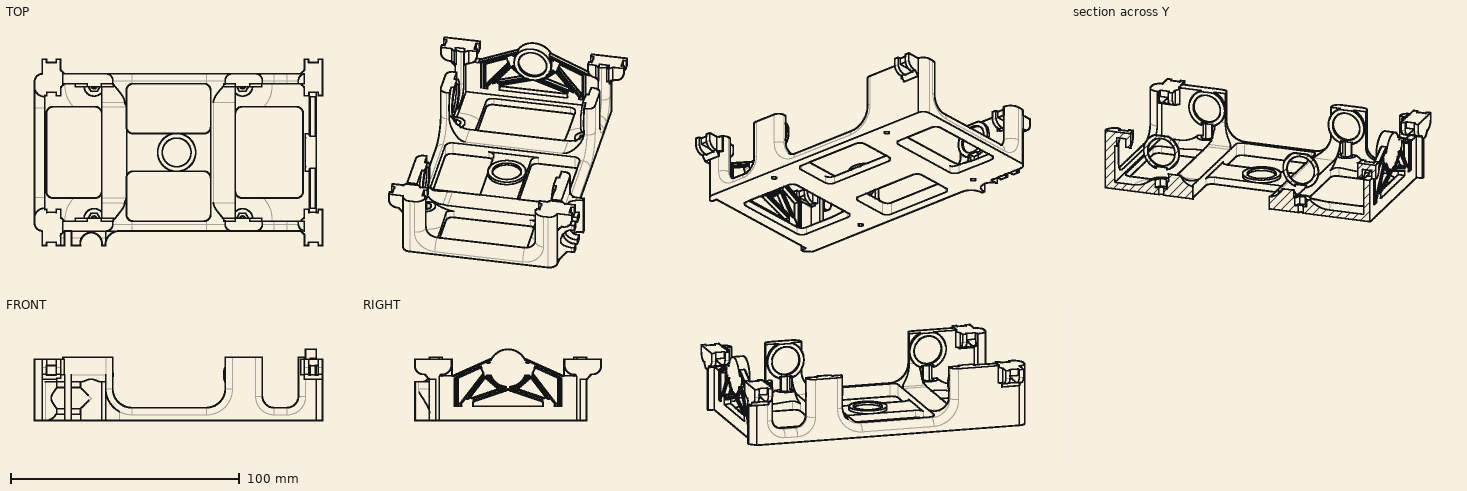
import cadquery as cq
import math


LENGTH = 126.0
ARM_TIP_Y = 40.75
POST_TOP = 26.9
WALL_TOP = 27.7
FLOOR_TOP = 3.3
OVERLAP = 0.5

WALL_OUTER = 34.4
WALL_INNER = 30.0
RAIL_TOP = 5.7
WALL_EDGE_RADIUS = 3.1
MAIN_OPENING = (34.3, 83.4)
MAIN_OPENING_RADIUS = 8.2
SMALL_OPENING = (99.7, 115.4)
SMALL_OPENING_RADIUS = 5.0
OPENINGS = ((MAIN_OPENING, MAIN_OPENING_RADIUS), (SMALL_OPENING, SMALL_OPENING_RADIUS))
WALL_RIGHT_END = 119.0

END_RAIL_WIDTH = 4.6
END_RAIL_TOP = 6.0
END_OPENING_HALF = 24.4
END_OPENING_RADIUS = 4.8
END_RAIL_EDGE_RADIUS = 4.4
END_CORNER_RADIUS = 3.6

FLOOR_RIGHT_END = 123.3
WINDOW_RADIUS = 2.8
END_WINDOW_HALF = 19.9
LEFT_WINDOW = (5.3, 29.4)
MIDDLE_WINDOW = (40.3, 77.0)
RIGHT_WINDOW = (87.9, 117.4)
CENTRE_BAR_HALF = 8.3
LEFT_CROSSBAR = (LEFT_WINDOW[1], MIDDLE_WINDOW[0])
RIGHT_CROSSBAR = (MIDDLE_WINDOW[1], RIGHT_WINDOW[0])
LEFT_CROSSBAR_TOP = 6.0
RIGHT_CROSSBAR_TOP = 6.3
CROSSBARS = ((LEFT_CROSSBAR, LEFT_CROSSBAR_TOP), (RIGHT_CROSSBAR, RIGHT_CROSSBAR_TOP))
CROSSBAR_RAMP_Z = RIGHT_CROSSBAR_TOP
CROSSBAR_RAMP_RADIUS = 8.0

PAD_RADIUS = 8.3
SEAT_RADIUS = 6.3
PAD_HEIGHT = 1.3
SEAT_DEPTH = 1.0
PAD_Z = 20.0
SIDE_PADS_X = (26.1, 91.0)
CENTRE_PAD_X = 62.2

MOUND_Y = 29.0
MOUND_BASE_RADIUS = 12.8
MOUND_TOP_RADIUS = 4.4
MOUND_TOP = 6.8
MOUND_SAG = 0.9
MOUND_HOLE_RADIUS = 1.1
MOUND_POCKET_ACROSS_FLATS = 4.7
MOUND_POCKET_TOP = PAD_Z - PAD_RADIUS + PAD_HEIGHT

LEFT_ARM = (3.4, 11.5)
RIGHT_ARM = (118.0, LENGTH)
ARM_CENTRE_Y = 32.8
ARM_HALF_LENGTH = ARM_TIP_Y - ARM_CENTRE_Y
ARM_NOSE_Z = 23.4
ARM_ROOT_HALF = 1.7
ARM_ROOT_Z = 18.0
ARM_KNEE_HALF = 3.6
ARM_KNEE_Z = 20.2
NOTCH_WIDTH = 4.15
NOTCH_DEPTH = 1.4
NOTCH_FLOOR = 20.0
ARM_HOLE_TOP = 24.0
FLARE = 1.6
WALL_TOP_LEFT = 12.5
POST_CORNER_CHAMFER = 2.8

TRUSS_X = (120.2, FLOOR_RIGHT_END)
TRUSS_RAIL_TOP = 6.2
STRUT_WIDTH = 1.8
STRUT_CHAMFER = 0.5
GUSSET_TOP = 19.5
GUSSET_INNER_Y = 23.4
DISC_LEFT = 118.5
DISC_Z = 22.95
DISC_RADIUS = 8.25

TOP_CHORD = ((23.5, 18.9), (7.0, 26.3))
SIDE_STRUT = ((22.7, 7.0), (22.7, 18.5))
DIAGONAL = ((19.8, 7.5), (10.6, 19.4))
LOWER_CHORD = ((16.0, 8.9), (0.0, 14.3))
DISC_STRUT = ((9.6, 19.6), (3.6, 14.4))
STRUTS = (TOP_CHORD, SIDE_STRUT, DIAGONAL, LOWER_CHORD, DISC_STRUT)
TRUSS_FOOT = ((20.3, 5.7), (20.3, 7.8), (16.2, 10.3), (15.2, 9.3), (15.2, 5.7))
TRUSS_NODE = ((6.0, 26.0), (11.8, 24.0), (11.6, 22.4), (10.4, 19.8), (6.0, 19.8))

HOLDER_TOP = 17.0
HOLDER_RAMP_RADIUS = 3.0
HOLDER_LEFT = 9.8
HOLDER_RIGHT = 31.1
HOLDER_LEFT_FLARE = 5.0
HOLDER_RIGHT_FLARE = 6.0
HOLDER_SLOT = (13.2, 16.2)
HOLDER_BORE_Y = -39.8
HOLDER_BORE_RADIUS = 4.7
VERTICAL_BORE_X = 24.8
CROSS_BORE_Z = 9.8
UNDERCUT_HEIGHT = 2.8
UNDERCUT_FLAT_Y = -37.5
UNDERCUT_RIGHT = 20.3


def block(x_range, y_range, z_range):
    """Box given by its limits along each axis."""
    size = [high - low for low, high in (x_range, y_range, z_range)]
    corner = (x_range[0], y_range[0], z_range[0])
    return cq.Workplane("XY").box(*size, centered=False).translate(corner)


def extrude_along_x(outline_yz, x_range):
    """Prism between two X limits from a closed outline in the YZ plane."""
    return outline_yz.extrude(x_range[1] - x_range[0]).translate((x_range[0], 0, 0))


def both_sides(body):
    """The body joined with its mirror image across Y = 0."""
    return body.union(body.mirror("XZ"))


def u_tool(plane, span, bottom, radius, depth):
    """Open-topped U cutter with rounded lower corners, extruded both ways from the plane."""
    low, high = span
    top = WALL_TOP + OVERLAP
    outline = (
        cq.Workplane(plane)
        .moveTo(low, top)
        .lineTo(low, bottom + radius)
        .radiusArc((low + radius, bottom), -radius)
        .lineTo(high - radius, bottom)
        .radiusArc((high, bottom + radius), -radius)
        .lineTo(high, top)
        .close()
    )
    return outline.extrude(depth, both=True)


def make_side_wall():
    """Wall on the +Y side with two U openings, rounded along the outer edge of each."""
    wall = block((LEFT_ARM[0], WALL_RIGHT_END), (WALL_INNER, WALL_OUTER), (0, WALL_TOP))
    for x_limits in ((0, WALL_TOP_LEFT), (RIGHT_ARM[0], LENGTH)):
        wall = wall.cut(block(x_limits, (0, ARM_TIP_Y), (POST_TOP, WALL_TOP + OVERLAP)))
    for span, radius in OPENINGS:
        wall = wall.cut(u_tool("XZ", span, RAIL_TOP, radius, ARM_TIP_Y))
        rim_box = cq.selectors.BoxSelector(
            (span[0] - OVERLAP, WALL_OUTER - OVERLAP, RAIL_TOP - OVERLAP),
            (span[1] + OVERLAP, WALL_OUTER + OVERLAP, WALL_TOP - OVERLAP),
        )
        wall = wall.edges(rim_box).fillet(WALL_EDGE_RADIUS)
    return wall


def make_end_rail():
    """Left end rail rising into the two left posts."""
    rail = block((0, END_RAIL_WIDTH), (-WALL_OUTER, WALL_OUTER), (0, POST_TOP))
    span = (-END_OPENING_HALF, END_OPENING_HALF)
    rail = rail.cut(u_tool("YZ", span, END_RAIL_TOP, END_OPENING_RADIUS, LENGTH))
    rim_box = cq.selectors.BoxSelector(
        (-OVERLAP, span[0] - OVERLAP, END_RAIL_TOP - OVERLAP),
        (OVERLAP, span[1] + OVERLAP, POST_TOP - OVERLAP),
    )
    rail = rail.edges(rim_box).fillet(END_RAIL_EDGE_RADIUS)
    for side in (-1, 1):
        corner = cq.selectors.NearestToPointSelector((0, side * WALL_OUTER, POST_TOP / 2))
        rail = rail.edges(corner).fillet(END_CORNER_RADIUS)
    return rail


def make_ring_pad(height):
    """Round pad standing on the XY plane, with its seat sunk in the top."""
    pad = cq.Workplane("XY").circle(PAD_RADIUS).extrude(height)
    seat = cq.Workplane("XY").workplane(offset=height - SEAT_DEPTH).circle(SEAT_RADIUS).extrude(height)
    return pad.cut(seat)


def make_mound(x):
    """Flared mound, concave towards the floor, standing against the +Y wall."""
    middle_radius = (MOUND_BASE_RADIUS + MOUND_TOP_RADIUS) / 2
    middle_z = (FLOOR_TOP + MOUND_TOP) / 2 - MOUND_SAG
    profile = (
        cq.Workplane("XZ")
        .lineTo(MOUND_BASE_RADIUS, 0)
        .lineTo(MOUND_BASE_RADIUS, FLOOR_TOP)
        .threePointArc((middle_radius, middle_z), (MOUND_TOP_RADIUS, MOUND_TOP))
        .lineTo(0, MOUND_TOP)
        .close()
    )
    mound = profile.revolve(360, (0, 0), (0, 1)).translate((x, MOUND_Y, 0))
    return mound.intersect(block((0, LENGTH), (0, WALL_INNER + OVERLAP), (0, WALL_TOP)))


def make_mound_hole(x):
    """Small through hole opening into a hexagonal pocket that also grooves the wall."""
    floor = cq.Workplane("XY").center(x, MOUND_Y)
    hole = floor.circle(MOUND_HOLE_RADIUS).extrude(MOUND_TOP)
    across_corners = MOUND_POCKET_ACROSS_FLATS / math.cos(math.pi / 6)
    pocket = floor.workplane(offset=FLOOR_TOP).polygon(6, across_corners)
    return hole.union(pocket.extrude(MOUND_POCKET_TOP - FLOOR_TOP))


def make_crossbar(span, top):
    """Raised bar across the floor, sweeping up into both side walls."""
    start_y = WALL_INNER - CROSSBAR_RAMP_RADIUS
    ramp_top = CROSSBAR_RAMP_Z + CROSSBAR_RAMP_RADIUS
    bar = block(span, (-WALL_INNER, WALL_INNER), (0, top))
    ramp = (
        cq.Workplane("YZ")
        .moveTo(END_WINDOW_HALF, FLOOR_TOP)
        .lineTo(END_WINDOW_HALF, top)
        .lineTo(start_y, CROSSBAR_RAMP_Z)
        .radiusArc((WALL_INNER, ramp_top), -CROSSBAR_RAMP_RADIUS)
        .lineTo(WALL_INNER + OVERLAP, ramp_top)
        .lineTo(WALL_INNER + OVERLAP, FLOOR_TOP)
        .close()
    )
    bar = bar.union(both_sides(extrude_along_x(ramp, span)))
    return bar.cut(u_tool("XZ", MAIN_OPENING, RAIL_TOP, MAIN_OPENING_RADIUS, ARM_TIP_Y))


def make_window(x_range, y_range):
    """Cutter for a floor window with rounded corners."""
    opening = block(x_range, y_range, (-OVERLAP, WALL_TOP))
    return opening.edges("|Z").fillet(WINDOW_RADIUS)


def make_floor():
    """Base plate with its mounds, crossbars and four windows; the middle windows have full-height corners."""
    floor = block((END_RAIL_WIDTH - OVERLAP, FLOOR_RIGHT_END), (-WALL_INNER, WALL_INNER), (0, FLOOR_TOP))
    for x in SIDE_PADS_X:
        floor = floor.union(both_sides(make_mound(x)))
    end_range = (-END_WINDOW_HALF, END_WINDOW_HALF)
    middle = make_window(MIDDLE_WINDOW, (CENTRE_BAR_HALF, WALL_INNER))
    rail_strip = block(MIDDLE_WINDOW, (WALL_INNER - WINDOW_RADIUS, WALL_INNER), (0, CROSSBAR_RAMP_Z))
    rail_strip = rail_strip.cut(u_tool("XZ", MAIN_OPENING, RAIL_TOP, MAIN_OPENING_RADIUS, ARM_TIP_Y))
    floor = floor.union(both_sides(rail_strip))
    for span, top in CROSSBARS:
        floor = floor.union(make_crossbar(span, top))
    for window in (make_window(LEFT_WINDOW, end_range), make_window(RIGHT_WINDOW, end_range)):
        floor = floor.cut(window)
    floor = floor.cut(both_sides(middle))
    centre_pad = make_ring_pad(PAD_HEIGHT).translate((CENTRE_PAD_X, 0, FLOOR_TOP))
    return floor.union(centre_pad)


def make_side_pad(x):
    """Pad on the inner face of the +Y wall, facing the middle of the frame."""
    pad = make_ring_pad(PAD_HEIGHT).rotate((0, 0, 0), (1, 0, 0), 90)
    pad = pad.translate((x, WALL_INNER, PAD_Z))
    return pad.cut(block((0, LENGTH), (0, WALL_OUTER), (WALL_TOP, LENGTH)))


def arm_point(side, half, z):
    """(y, z) of an arm outline point at a distance to one side of the arm centre."""
    return (ARM_CENTRE_Y + side * half, z)


def make_arm(x_range):
    """Arm along Y on top of a +Y post, with rounded undersides at both tips."""
    bulge_half = ARM_KNEE_HALF + (ARM_HALF_LENGTH - ARM_KNEE_HALF) * math.sin(math.pi / 4)
    bulge_z = ARM_NOSE_Z - (ARM_NOSE_Z - ARM_KNEE_Z) * math.sin(math.pi / 4)
    outline = (
        cq.Workplane("YZ")
        .moveTo(*arm_point(-1, ARM_HALF_LENGTH, POST_TOP))
        .lineTo(*arm_point(-1, ARM_HALF_LENGTH, ARM_NOSE_Z))
        .threePointArc(arm_point(-1, bulge_half, bulge_z), arm_point(-1, ARM_KNEE_HALF, ARM_KNEE_Z))
        .lineTo(*arm_point(-1, ARM_ROOT_HALF, ARM_ROOT_Z))
        .lineTo(*arm_point(1, ARM_ROOT_HALF, ARM_ROOT_Z))
        .lineTo(*arm_point(1, ARM_KNEE_HALF, ARM_KNEE_Z))
        .threePointArc(arm_point(1, bulge_half, bulge_z), arm_point(1, ARM_HALF_LENGTH, ARM_NOSE_Z))
        .lineTo(*arm_point(1, ARM_HALF_LENGTH, POST_TOP))
        .close()
    )
    return extrude_along_x(outline, x_range)


def make_arm_cut(x_range):
    """Notches in both arm tips, joined by a rectangular hole along the arm."""
    middle_x = sum(x_range) / 2
    slot = (middle_x - NOTCH_WIDTH / 2, middle_x + NOTCH_WIDTH / 2)
    inner_tip = ARM_CENTRE_Y - ARM_HALF_LENGTH
    cut = block(slot, (inner_tip - OVERLAP, ARM_TIP_Y + OVERLAP), (NOTCH_FLOOR, ARM_HOLE_TOP))
    for y_range in (
        (inner_tip - OVERLAP, inner_tip + NOTCH_DEPTH),
        (ARM_TIP_Y - NOTCH_DEPTH, ARM_TIP_Y + OVERLAP),
    ):
        cut = cut.union(block(slot, y_range, (NOTCH_FLOOR, POST_TOP + OVERLAP)))
    return cut


def make_flare(x, toward):
    """Wedges that widen the wall where it meets the arm; toward is the X sense to the wall."""
    outline = cq.Workplane("XY").workplane(offset=NOTCH_FLOOR).polyline([
        (x, WALL_OUTER + FLARE),
        (x + toward * FLARE, WALL_OUTER),
        (x + toward * FLARE, WALL_INNER),
        (x, WALL_INNER - FLARE),
    ])
    return outline.close().extrude(POST_TOP - NOTCH_FLOOR)


def make_posts():
    """The left and right posts on the +Y side."""
    left = block((END_RAIL_WIDTH - OVERLAP, LEFT_ARM[1]), (WALL_INNER, WALL_OUTER), (0, POST_TOP))
    right = block((WALL_RIGHT_END - OVERLAP, LENGTH), (WALL_INNER, WALL_OUTER), (0, POST_TOP))
    right = right.edges("|Z and >X and >Y").chamfer(POST_CORNER_CHAMFER)
    posts = left.union(right)
    posts = posts.union(make_flare(LEFT_ARM[1], 1)).union(make_flare(RIGHT_ARM[0], -1))
    for x_range in (LEFT_ARM, RIGHT_ARM):
        posts = posts.union(make_arm(x_range))
    gusset = block(TRUSS_X, (GUSSET_INNER_Y, WALL_INNER + OVERLAP), (0, GUSSET_TOP))
    return posts.union(gusset)


def make_strut(start, end):
    """Straight bevelled strut between two (y, z) points in the truss plane."""
    run = end[0] - start[0]
    rise = end[1] - start[1]
    depth = TRUSS_X[1] - TRUSS_X[0]
    strut = cq.Workplane("XY").box(depth, math.hypot(run, rise) + STRUT_WIDTH, STRUT_WIDTH)
    strut = strut.edges("|Y").chamfer(STRUT_CHAMFER)
    strut = strut.rotate((0, 0, 0), (1, 0, 0), math.degrees(math.atan2(rise, run)))
    middle = ((start[0] + end[0]) / 2, (start[1] + end[1]) / 2)
    return strut.translate((sum(TRUSS_X) / 2, *middle))


def make_disc_blank(radius, left):
    """Disc along X from the given left face to the outer face of the truss."""
    outline = cq.Workplane("YZ").center(0, DISC_Z).circle(radius)
    return extrude_along_x(outline, (left, FLOOR_RIGHT_END))


def make_truss():
    """Open truss between the right posts, holding an upright disc that faces -X."""
    rail = block(TRUSS_X, (-GUSSET_INNER_Y, GUSSET_INNER_Y), (0, TRUSS_RAIL_TOP))
    half = extrude_along_x(cq.Workplane("YZ").polyline(TRUSS_FOOT).close(), TRUSS_X)
    half = half.union(extrude_along_x(cq.Workplane("YZ").polyline(TRUSS_NODE).close(), TRUSS_X))
    for start, end in STRUTS:
        half = half.union(make_strut(start, end))
    disc = make_disc_blank(DISC_RADIUS, DISC_LEFT)
    web = make_disc_blank(SEAT_RADIUS, DISC_LEFT + SEAT_DEPTH)
    seat = make_disc_blank(SEAT_RADIUS, DISC_LEFT).cut(web)
    return both_sides(half).union(rail).union(disc).cut(seat)


def make_holder():
    """Split cable holder: a vertical half bore met by a horizontal one along X."""
    wall_y = -WALL_OUTER
    tip_y = -ARM_TIP_Y
    back_y = wall_y + OVERLAP
    left_toe = HOLDER_LEFT - HOLDER_LEFT_FLARE
    right_toe = HOLDER_RIGHT + HOLDER_RIGHT_FLARE
    plan = (
        cq.Workplane("XY")
        .moveTo(left_toe, back_y)
        .lineTo(left_toe, wall_y)
        .radiusArc((HOLDER_LEFT, wall_y - HOLDER_LEFT_FLARE), HOLDER_LEFT_FLARE)
        .lineTo(HOLDER_LEFT, tip_y)
        .lineTo(HOLDER_RIGHT, tip_y)
        .lineTo(HOLDER_RIGHT, wall_y - HOLDER_RIGHT_FLARE)
        .radiusArc((right_toe, wall_y), HOLDER_RIGHT_FLARE)
        .lineTo(right_toe, back_y)
        .close()
    )
    ramp = (
        cq.Workplane("YZ")
        .moveTo(back_y, HOLDER_TOP)
        .lineTo(back_y, HOLDER_TOP + HOLDER_RAMP_RADIUS)
        .lineTo(wall_y, HOLDER_TOP + HOLDER_RAMP_RADIUS)
        .radiusArc((wall_y - HOLDER_RAMP_RADIUS, HOLDER_TOP), HOLDER_RAMP_RADIUS)
        .close()
    )
    holder = plan.extrude(HOLDER_TOP).union(extrude_along_x(ramp, (HOLDER_LEFT, HOLDER_RIGHT)))

    vertical_bore = cq.Workplane("XY").center(VERTICAL_BORE_X, HOLDER_BORE_Y).circle(HOLDER_BORE_RADIUS)
    cross_bore = cq.Workplane("YZ").center(HOLDER_BORE_Y, CROSS_BORE_Z).circle(HOLDER_BORE_RADIUS)
    undercut = cq.Workplane("YZ").polyline([
        (tip_y - OVERLAP, 0),
        (tip_y - OVERLAP, UNDERCUT_HEIGHT),
        (UNDERCUT_FLAT_Y, UNDERCUT_HEIGHT),
        (wall_y, 0),
    ])
    slot = block(HOLDER_SLOT, (tip_y - OVERLAP, wall_y), (-OVERLAP, WALL_TOP))
    rim_span = (MAIN_OPENING[0] - WALL_EDGE_RADIUS, MAIN_OPENING[1] + WALL_EDGE_RADIUS)
    rim_bottom = RAIL_TOP - WALL_EDGE_RADIUS
    rim_radius = MAIN_OPENING_RADIUS + WALL_EDGE_RADIUS
    holder = holder.cut(vertical_bore.extrude(WALL_TOP))
    holder = holder.cut(extrude_along_x(cross_bore, (left_toe, VERTICAL_BORE_X)))
    holder = holder.cut(extrude_along_x(undercut.close(), (left_toe, UNDERCUT_RIGHT)))
    holder = holder.cut(slot)
    return holder.cut(u_tool("XZ", rim_span, rim_bottom, rim_radius, LENGTH))


def make_frame():
    """The whole part."""
    side = make_side_wall().union(make_posts())
    for x in SIDE_PADS_X:
        side = side.union(make_side_pad(x))
    frame = both_sides(side).union(make_end_rail()).union(make_floor())
    for x in SIDE_PADS_X:
        frame = frame.cut(both_sides(make_mound_hole(x)))
    frame = frame.union(make_truss()).union(make_holder())
    for x_range in (LEFT_ARM, RIGHT_ARM):
        frame = frame.cut(both_sides(make_arm_cut(x_range)))
    return frame


result = make_frame()